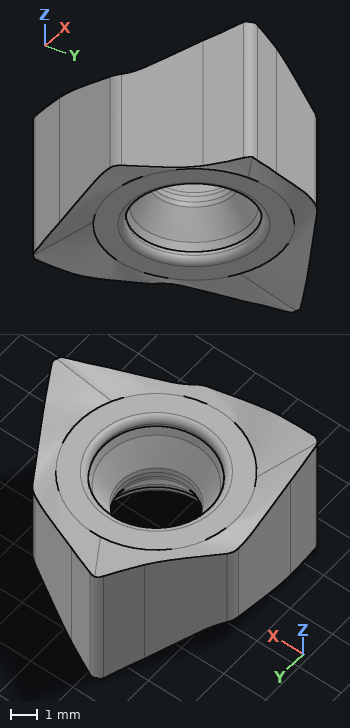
import cadquery as cq
import math

NOSE_COUNT = 3
SECTOR = 360 / NOSE_COUNT
NOSE_HEADING = 106.6
THICKNESS = 6.1
HALF_HEIGHT = THICKNESS / 2

FACET_DISTANCE = 4.52
FACET_NORMAL = 43.4
FACET_END = 2.26
OBTUSE_RADIUS = 4.69
NOSE_FILLET = 0.4
OBTUSE_FILLET = 0.98

RING_RADIUS = 3.74
RING_HEIGHT = 2.26

SWIRL = 12
OVERSHOOT = 1.15
EDGE_STATIONS = [
    (0, 0), (8, 0), (17, 0.06), (28, 0.26), (41, 0.56), (54, 0.89), (61, 1.04),
    (67, 1.08), (78, 0.96), (86, 0.81), (97, 0.56), (107, 0.33), (113, 0.18), (117, 0.03), (SECTOR, 0),
]

LIP_FILLET = 0.3
SEAT_RADIUS = 2.53
SEAT_WALL_END = 1.81
CONE_TOP_RADIUS = 2.4
CONE_TOP_HEIGHT = 1.46
CONE_END_RADIUS = 1.74
CONE_END_HEIGHT = 0.32
THROAT_RADIUS = 1.69
THROAT_HALF_HEIGHT = 0.13


def polar(radius, angle):
    a = math.radians(angle)
    return (radius * math.cos(a), radius * math.sin(a))


NOSE_RADIUS = FACET_DISTANCE / math.cos(math.radians(FACET_NORMAL))
KINK_RADIUS = math.hypot(FACET_DISTANCE, FACET_END)
KINK_ANGLE = FACET_NORMAL - math.degrees(math.atan2(FACET_END, FACET_DISTANCE))
SECTOR_CORNERS = [
    (NOSE_RADIUS, 0),
    (KINK_RADIUS, KINK_ANGLE),
    (OBTUSE_RADIUS, SECTOR / 2),
    (KINK_RADIUS, SECTOR - KINK_ANGLE),
    (NOSE_RADIUS, SECTOR),
]


def outline_point(angle):
    """Point of the sharp-cornered outline at an angle from the nose, within one sector."""
    for (r1, a1), (r2, a2) in zip(SECTOR_CORNERS, SECTOR_CORNERS[1:]):
        if angle <= a2:
            from_first = math.sin(math.radians(angle - a1))
            to_second = math.sin(math.radians(a2 - angle))
            across = math.sin(math.radians(a2 - a1))
            return polar(r1 * r2 * across / (r1 * from_first + r2 * to_second), angle)


def outline_prism():
    corners = [
        polar(r, a + k * SECTOR)
        for k in range(NOSE_COUNT)
        for r, a in SECTOR_CORNERS[:-1]
    ]
    prism = cq.Workplane("XY").polyline(corners).close().extrude(HALF_HEIGHT, both=True)

    def round_corners(body, radius, fillet):
        def at_radius(edge):
            return math.isclose(math.hypot(edge.Center().x, edge.Center().y), radius)

        return body.edges("|Z").filter(at_radius).fillet(fillet)

    prism = round_corners(prism, NOSE_RADIUS, NOSE_FILLET)
    return round_corners(prism, OBTUSE_RADIUS, OBTUSE_FILLET)


def sector_rims():
    """Upper and lower rim over one sector: the rulings carried past the outline, run the same way."""
    points = []
    for angle, drop in EDGE_STATIONS:
        edge = cq.Vector(*outline_point(angle), HALF_HEIGHT - drop)
        start = cq.Vector(*polar(RING_RADIUS, angle - SWIRL), RING_HEIGHT)
        points.append(start + (edge - start) * OVERSHOOT)
    shares = [angle / SECTOR for angle, _ in EDGE_STATIONS]
    upper = cq.Edge.makeSpline(points, parameters=shares)
    turned_points = [cq.Vector(p.x, -p.y, -p.z) for p in reversed(points)]
    turned_shares = [1 - share for share in reversed(shares)]
    turned = cq.Edge.makeSpline(turned_points, parameters=turned_shares)
    return upper, turned.rotate(cq.Vector(), cq.Vector(0, 0, 1), SECTOR)


def twisted_body():
    """Solid between the twisted top and bottom surfaces, wider than the outline all round."""
    origin = cq.Vector()
    x_tip = cq.Vector(1, 0, 0)
    z_tip = cq.Vector(0, 0, 1)
    ring_centre = cq.Vector(0, 0, RING_HEIGHT)
    arc = cq.Edge.makeCircle(RING_RADIUS, ring_centre, z_tip, -SWIRL, SECTOR - SWIRL)
    rim, rim_below = sector_rims()
    sector_faces = [
        cq.Face.makeRuledSurface(arc, rim),
        cq.Face.makeRuledSurface(rim, rim_below),
        cq.Face.makeRuledSurface(arc, rim).rotate(origin, x_tip, 180),
    ]
    ring_circle = cq.Edge.makeCircle(RING_RADIUS, ring_centre)
    ring_disc = cq.Face.makeFromWires(cq.Wire.assembleEdges([ring_circle]))
    faces = [ring_disc, ring_disc.rotate(origin, x_tip, 180)]
    for k in range(NOSE_COUNT):
        faces += [face.rotate(origin, z_tip, k * SECTOR) for face in sector_faces]
    return cq.Solid.makeSolid(cq.Shell.makeShell(faces))


def half_hole():
    """Upper half of the hole: rounded lip, short wall, cone and throat."""
    blend = math.sqrt(0.5)
    lip_radius = SEAT_RADIUS + LIP_FILLET
    lip_mid = (lip_radius - LIP_FILLET * blend, RING_HEIGHT - LIP_FILLET * (1 - blend))
    return (
        cq.Workplane("XZ")
        .lineTo(0, RING_HEIGHT)
        .lineTo(lip_radius, RING_HEIGHT)
        .threePointArc(lip_mid, (SEAT_RADIUS, RING_HEIGHT - LIP_FILLET))
        .lineTo(SEAT_RADIUS, SEAT_WALL_END)
        .lineTo(CONE_TOP_RADIUS, CONE_TOP_HEIGHT)
        .lineTo(CONE_END_RADIUS, CONE_END_HEIGHT)
        .lineTo(THROAT_RADIUS, THROAT_HALF_HEIGHT)
        .lineTo(THROAT_RADIUS, 0)
        .close()
        .revolve(360, (0, 0, 0), (0, 1, 0))
    )


hole = half_hole().union(half_hole().rotate((0, 0, 0), (1, 0, 0), 180))
result = (
    outline_prism()
    .intersect(cq.Workplane(twisted_body()))
    .cut(hole)
    .rotate((0, 0, 0), (0, 0, 1), NOSE_HEADING)
)